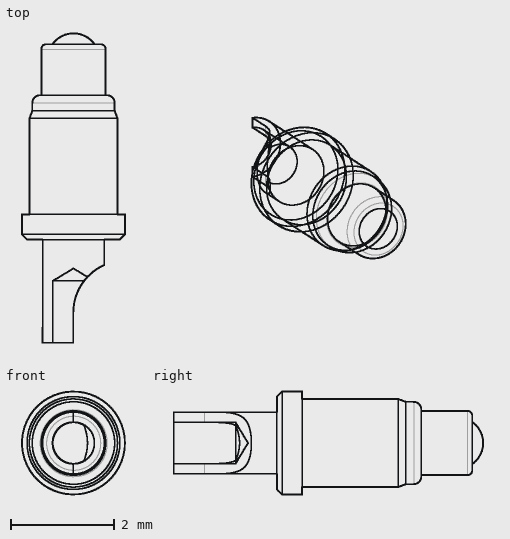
import cadquery as cq
import math


tail_length = 2.0
flange_thickness = 0.49
barrel_end = 4.8
plunger_shoulder = 5.79
tip_end = 6.0

tail_radius = 0.6
flange_radius = 1.0
barrel_radius = 0.855
neck_radius = 0.8
plunger_radius = 0.625
tip_sphere_radius = 0.5

flange_chamfer = 0.1
neck_length = 0.3
neck_taper_length = 0.15
neck_fillet = 0.15
plunger_fillet = 0.1

cup_radius = 0.4
cup_depth = 1.2
drill_point_angle = 118.0
scoop_radius = 1.0
scoop_center_y = 0.59

flange_end = tail_length + flange_thickness
neck_start = barrel_end - neck_length


def arc_middle(center_x, center_y, radius, angle_degrees):
    """Point on a circle, used as the middle point of a three-point arc."""
    angle = math.radians(angle_degrees)
    return (center_x + radius * math.cos(angle), center_y + radius * math.sin(angle))


def turned_body():
    """Tail, flange, barrel, plunger and domed tip revolved about Y."""
    neck_fillet_middle = arc_middle(
        neck_radius - neck_fillet, barrel_end - neck_fillet, neck_fillet, 45
    )
    plunger_fillet_middle = arc_middle(
        plunger_radius - plunger_fillet, plunger_shoulder - plunger_fillet, plunger_fillet, 45
    )
    sphere_center_y = tip_end - tip_sphere_radius
    dome_base_angle = math.asin((plunger_shoulder - sphere_center_y) / tip_sphere_radius)
    dome_base_radius = tip_sphere_radius * math.cos(dome_base_angle)
    dome_middle_angle = (math.degrees(dome_base_angle) + 90) / 2
    dome_middle = arc_middle(0, sphere_center_y, tip_sphere_radius, dome_middle_angle)

    profile = (
        cq.Workplane("XY")
        .moveTo(0, 0)
        .lineTo(tail_radius, 0)
        .lineTo(tail_radius, tail_length)
        .lineTo(flange_radius - flange_chamfer, tail_length)
        .lineTo(flange_radius, tail_length + flange_chamfer)
        .lineTo(flange_radius, flange_end)
        .lineTo(barrel_radius, flange_end)
        .lineTo(barrel_radius, neck_start - neck_taper_length)
        .lineTo(neck_radius, neck_start)
        .lineTo(neck_radius, barrel_end - neck_fillet)
        .threePointArc(neck_fillet_middle, (neck_radius - neck_fillet, barrel_end))
        .lineTo(plunger_radius, barrel_end)
        .lineTo(plunger_radius, plunger_shoulder - plunger_fillet)
        .threePointArc(plunger_fillet_middle, (plunger_radius - plunger_fillet, plunger_shoulder))
        .lineTo(dome_base_radius, plunger_shoulder)
        .threePointArc(dome_middle, (0, tip_end))
        .close()
    )
    return profile.revolve(360, (0, 0, 0), (0, 1, 0))


def drilled_cup():
    """Blind hole with a conical bottom, entering from the tail end."""
    cone_height = cup_radius / math.tan(math.radians(drill_point_angle / 2))
    return (
        cq.Workplane("XY")
        .moveTo(0, 0)
        .lineTo(cup_radius, 0)
        .lineTo(cup_radius, cup_depth)
        .lineTo(0, cup_depth + cone_height)
        .close()
        .revolve(360, (0, 0, 0), (0, 1, 0))
    )


def side_scoop():
    """Cutter that opens the +X half of the tail and runs out in a round sweep."""
    scoop_top = scoop_center_y + scoop_radius
    sweep_middle = arc_middle(scoop_radius, scoop_center_y, scoop_radius, 135)
    return (
        cq.Workplane("XY")
        .moveTo(0, 0)
        .lineTo(0, scoop_center_y)
        .threePointArc(sweep_middle, (scoop_radius, scoop_top))
        .lineTo(scoop_radius, 0)
        .close()
        .extrude(tail_radius, both=True)
    )


result = turned_body().cut(drilled_cup()).cut(side_scoop())